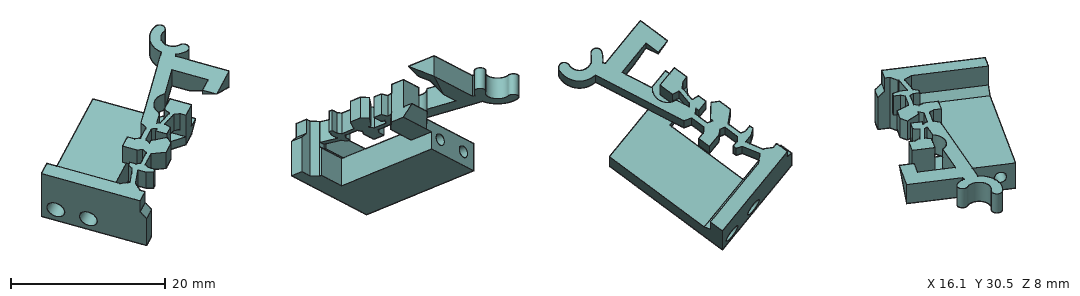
import cadquery as cq
import math

HEIGHT = 8.0
BASE_TOP = 4.0
LEVER_BOTTOM = 4.98
LEVER_THICKNESS = HEIGHT - LEVER_BOTTOM

BASE_WIDTH = 8.22
BASE_LENGTH = 18.57
WALL_WIDTH = 14.63
WALL_DEPTH = 2.0
WALL_FOOT_DEPTH = 3.0
WALL_FOOT_WIDTH = 12.15
WALL_END_DEPTH = 1.8
ROOT_LEFT = (11.3, 2.65)
ROOT_RIGHT = (WALL_FOOT_WIDTH, 2.65)
STOP_X = 13.72
WALL_BEVEL_TOP = 5.95

HOLE_XS = (2.02, 6.55)
HOLE_Z = 2.02
BORE_RADIUS = 1.22
BORE_DEPTH = BASE_LENGTH / 2
NARROW_RADIUS = 0.8
SEAT_ANGLE = 118
SEAT_LENGTH = (BORE_RADIUS - NARROW_RADIUS) / math.tan(math.radians(SEAT_ANGLE / 2))

PLATFORM_THICKNESS = 1.5
PLATFORM_FRONT = 15.03
PLATFORM_BACK = 20.05
ANCHOR_LEFT = 10.7
ANCHOR_FRONT = 16.53

HOOK_CENTER = (7.12, 29.02)
HOOK_MID_RADIUS = 2.32
HOOK_HALF_WIDTH = 0.73
HOOK_START_ANGLE = 160
HOOK_END_ANGLE = 326

CATCH_ROOT = 7.65
CATCH_RIGHT = 16.07
CATCH_BACK = 26.0
CATCH_INNER = 23.52
CATCH_TIP = 21.5
CATCH_TIP_LEFT = 14.08
CATCH_BEVEL_LEFT = 11.5
BEVEL_CUTTER_SIZE = 30.55

LEVER_TOP_RIGHT = 8.58
LEVER_TOP = 26.3

CLEARANCE_CENTER = (11.0, 17.57)
CLEARANCE_RADIUS = 2.0


def prism(points, bottom, top):
    """Extrude a closed plan outline between two Z levels."""
    return cq.Workplane("XY").workplane(offset=bottom).polyline(points).close().extrude(top - bottom)


def lever_layer(points):
    """Extrude a plan outline over the thickness of the lever."""
    return prism(points, LEVER_BOTTOM, HEIGHT)


def make_base():
    """Plain rectangular block at the left of the part."""
    return cq.Workplane("XY").box(BASE_WIDTH, BASE_LENGTH, BASE_TOP, centered=False)


def make_wall():
    """End wall with a thicker foot, a root for the flexure and a bevelled step at its right end."""
    right_end = [
        ROOT_RIGHT,
        (13.0, WALL_END_DEPTH),
        (WALL_WIDTH, WALL_END_DEPTH),
        (WALL_WIDTH, 0),
    ]
    wall = prism([(0, 0), (0, WALL_DEPTH), (10.17, WALL_DEPTH), ROOT_LEFT] + right_end, 0, HEIGHT)
    foot = prism([(0, 0), (0, WALL_FOOT_DEPTH), (WALL_FOOT_WIDTH, WALL_FOOT_DEPTH)] + right_end, 0, BASE_TOP)

    bevel = WALL_FOOT_DEPTH - WALL_DEPTH
    gusset = (
        cq.Workplane("YZ")
        .polyline([
            (WALL_DEPTH, BASE_TOP),
            (WALL_FOOT_DEPTH, BASE_TOP),
            (WALL_DEPTH, BASE_TOP + bevel),
        ])
        .close()
        .extrude(WALL_FOOT_WIDTH)
    )

    step = (
        cq.Workplane("XZ")
        .polyline([
            (STOP_X, HEIGHT),
            (STOP_X, WALL_BEVEL_TOP),
            (WALL_WIDTH, WALL_BEVEL_TOP - (WALL_WIDTH - STOP_X)),
            (WALL_WIDTH, HEIGHT),
        ])
        .close()
        .extrude(-WALL_FOOT_DEPTH)
    )
    return wall.union(foot).union(gusset).cut(step)


def make_holes():
    """Stepped holes through the full length of the base, with a drill-point seat between the bores."""
    profile = [
        (0, 0),
        (0, BORE_RADIUS),
        (BORE_DEPTH, BORE_RADIUS),
        (BORE_DEPTH + SEAT_LENGTH, NARROW_RADIUS),
        (BASE_LENGTH, NARROW_RADIUS),
        (BASE_LENGTH, 0),
    ]
    hole = cq.Workplane("YZ").polyline(profile).close().revolve(360, (0, 0, 0), (1, 0, 0))
    holes = cq.Workplane("XY")
    for x in HOLE_XS:
        holes = holes.union(hole.translate((x, 0, HOLE_Z)))
    return holes


def make_platform():
    """Shelf beside the base; its back overhang is undercut at 45 degrees."""
    overhang = PLATFORM_BACK - BASE_LENGTH
    corner = ANCHOR_FRONT - PLATFORM_FRONT
    bottom = BASE_TOP - PLATFORM_THICKNESS
    shelf = prism(
        [
            (BASE_WIDTH, PLATFORM_FRONT),
            (STOP_X - corner, PLATFORM_FRONT),
            (STOP_X, ANCHOR_FRONT),
            (STOP_X, PLATFORM_BACK),
            (ANCHOR_LEFT, PLATFORM_BACK),
            (ANCHOR_LEFT - overhang, BASE_LENGTH),
            (BASE_WIDTH, BASE_LENGTH),
        ],
        bottom,
        BASE_TOP,
    )
    undercut = (
        cq.Workplane("YZ")
        .polyline([
            (BASE_LENGTH, bottom),
            (PLATFORM_BACK, bottom),
            (PLATFORM_BACK, bottom + overhang),
        ])
        .close()
        .extrude(STOP_X)
    )
    return shelf.cut(undercut)


def make_anchor():
    """Fixed block standing on the platform."""
    return prism(
        [
            (ANCHOR_LEFT, ANCHOR_FRONT),
            (STOP_X, ANCHOR_FRONT),
            (STOP_X, BASE_LENGTH),
            (ANCHOR_LEFT, BASE_LENGTH),
        ],
        BASE_TOP,
        HEIGHT,
    )


def polar(center, radius, angle):
    """Point at a radius and an angle in degrees around a center."""
    turn = math.radians(angle)
    return (center[0] + radius * math.cos(turn), center[1] + radius * math.sin(turn))


def make_hook():
    """Circular hook with rounded ends, running counterclockwise from the start to the end angle."""
    inner = HOOK_MID_RADIUS - HOOK_HALF_WIDTH
    outer = HOOK_MID_RADIUS + HOOK_HALF_WIDTH
    start = HOOK_START_ANGLE
    end = HOOK_END_ANGLE
    middle = (start + end) / 2
    start_tip = polar(polar(HOOK_CENTER, HOOK_MID_RADIUS, start), HOOK_HALF_WIDTH, start - 90)
    end_tip = polar(polar(HOOK_CENTER, HOOK_MID_RADIUS, end), HOOK_HALF_WIDTH, end + 90)

    return (
        cq.Workplane("XY")
        .workplane(offset=LEVER_BOTTOM)
        .moveTo(*polar(HOOK_CENTER, outer, start))
        .threePointArc(polar(HOOK_CENTER, outer, middle), polar(HOOK_CENTER, outer, end))
        .threePointArc(end_tip, polar(HOOK_CENTER, inner, end))
        .threePointArc(polar(HOOK_CENTER, inner, middle), polar(HOOK_CENTER, inner, start))
        .threePointArc(start_tip, polar(HOOK_CENTER, outer, start))
        .close()
        .extrude(LEVER_THICKNESS)
    )


def make_catch():
    """L-shaped catch, bevelled below by one oblique plane."""
    catch = lever_layer([
        (CATCH_ROOT, CATCH_BACK),
        (CATCH_RIGHT, CATCH_BACK),
        (CATCH_RIGHT, CATCH_TIP),
        (CATCH_TIP_LEFT, CATCH_TIP),
        (CATCH_TIP_LEFT, CATCH_INNER),
        (CATCH_ROOT, CATCH_INNER),
    ])
    tip_corner = cq.Vector(CATCH_RIGHT, CATCH_TIP, HEIGHT)
    back_corner = cq.Vector(CATCH_RIGHT, CATCH_BACK, LEVER_BOTTOM)
    inner_corner = cq.Vector(CATCH_BEVEL_LEFT, CATCH_INNER, LEVER_BOTTOM)
    along_edge = back_corner - tip_corner
    downward = (inner_corner - tip_corner).cross(along_edge)
    bevel_plane = cq.Plane(tip_corner, along_edge, downward)
    bevel = cq.Workplane(bevel_plane).rect(BEVEL_CUTTER_SIZE, BEVEL_CUTTER_SIZE).extrude(BEVEL_CUTTER_SIZE)
    return catch.cut(bevel)


def make_lever():
    """Tapered lever bar with a blunt lower end and the clearance for the anchor."""
    lever = lever_layer([
        (6.63, CATCH_BACK),
        (8.77, 13.15),
        (9.68, 12.62),
        (10.42, 12.62),
        (11.05, 12.98),
        (11.05, 12.5),
        (12.62, 12.5),
        (12.62, 13.78),
        (11.7, 14.08),
        (11.1, 14.08),
        (10.7, 13.8),
        (LEVER_TOP_RIGHT, LEVER_TOP),
    ])
    clearance = (
        cq.Workplane("XY")
        .workplane(offset=LEVER_BOTTOM)
        .center(*CLEARANCE_CENTER)
        .circle(CLEARANCE_RADIUS)
        .extrude(LEVER_THICKNESS)
    )
    return lever.cut(clearance)


def make_flexures():
    """Thin flexures, flared at their ends, with the stiff blocks between them."""
    anchor_flexure = lever_layer([
        (11.1, 14.08), (11.58, 16.13), (10.7, 16.53), (12.9, 16.53), (12.2, 16.13), (11.7, 14.08),
    ])
    chain = lever_layer([
        (10.42, 12.62), (10.42, 10.6), (11.1, 10.17), (11.1, 10.63), (12.9, 11.95), (13.72, 11.15),
        (13.72, 9.38), (11.98, 8.43), (11.98, 6.35), (12.53, 6.02), (13.47, 6.02), (13.47, 5.47),
        (12.55, 5.1), (11.43, 5.1), (12.05, 2.65),
        ROOT_LEFT, (10.65, 5.07), (9.95, 5.5), (9.95, 6.02), (10.8, 6.02), (11.33, 6.35),
        (11.33, 8.43), (10.7, 8.77), (10.05, 8.4), (8.03, 8.4), (8.03, 10.17), (9.05, 10.17),
        (9.68, 10.6), (9.68, 12.62),
    ])
    return anchor_flexure.union(chain)


result = make_base().union(make_wall()).union(make_platform()).union(make_anchor())
result = result.union(make_catch()).union(make_lever()).union(make_hook()).union(make_flexures())
result = result.cut(make_holes())